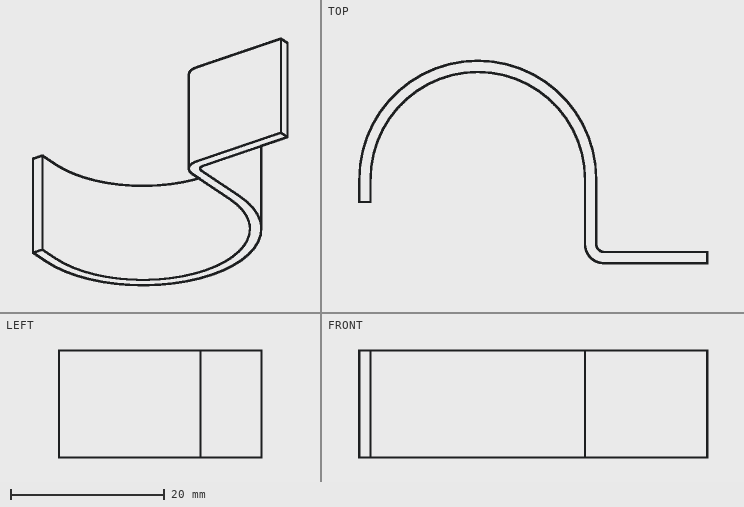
import cadquery as cq
import math

thickness = 1.5
width = 14.0
inner_radius = 14.0
short_leg = 3.0
long_leg = 8.5
bend_inner_radius = 1.0
flange_length = 13.5

outer_radius = inner_radius + thickness
bend_outer_radius = bend_inner_radius + thickness
bend_center_x = inner_radius + bend_outer_radius
bend_center_y = -long_leg
flange_bottom_y = bend_center_y - bend_outer_radius


def plate(x_min, y_min, x_size, y_size):
    """Flat stretch of strip with its lower corner at (x_min, y_min)."""
    return cq.Workplane("XY").box(x_size, y_size, width, centered=False).translate((x_min, y_min, 0))


def curved_strip(center_x, center_y, radius_in, start_deg, sweep_deg):
    """Curved stretch of strip around a vertical axis, counter-clockwise from start_deg."""
    radius_out = radius_in + thickness

    def point(radius, fraction):
        angle = math.radians(start_deg + fraction * sweep_deg)
        return (center_x + radius * math.cos(angle), center_y + radius * math.sin(angle))

    return (
        cq.Workplane("XY")
        .moveTo(*point(radius_out, 0))
        .threePointArc(point(radius_out, 0.5), point(radius_out, 1))
        .lineTo(*point(radius_in, 1))
        .threePointArc(point(radius_in, 0.5), point(radius_in, 0))
        .close()
        .extrude(width)
    )


saddle = curved_strip(0, 0, inner_radius, start_deg=0, sweep_deg=180)
bend = curved_strip(bend_center_x, bend_center_y, bend_inner_radius, start_deg=180, sweep_deg=90)
short_end = plate(-outer_radius, -short_leg, thickness, short_leg)
long_run = plate(inner_radius, -long_leg, thickness, long_leg)
flange = plate(bend_center_x, flange_bottom_y, flange_length, thickness)

result = saddle
for stretch in (short_end, long_run, bend, flange):
    result = result.union(stretch, clean=False)